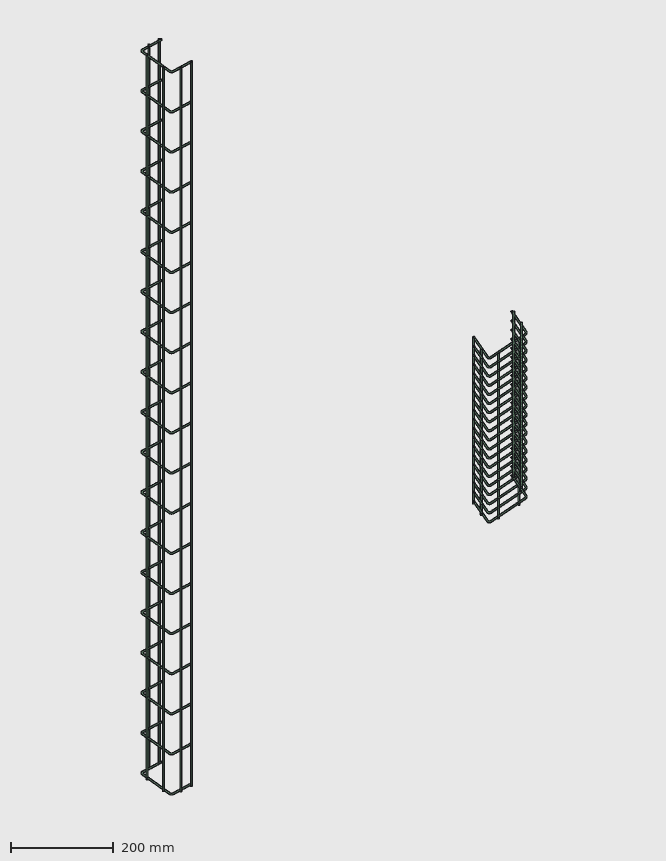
import cadquery as cq

width = 100.0
depth = 58.0
length = 1804.0

wire_diameter = 4.0
bend_radius = 4.5
rib_count = 19
floor_wire_spacing = 49.0
rim_wire_inset = 3.8
side_wire_spacing = 27.0
weld_overlap = 1.5

wire_radius = wire_diameter / 2
cross_spacing = wire_diameter - weld_overlap
rib_pitch = (length - wire_diameter) / (rib_count - 1)

side_wire_x = width / 2 - wire_radius
floor_wire_y = -depth / 2 + wire_radius
rib_x = side_wire_x - cross_spacing
rib_floor_y = floor_wire_y + cross_spacing
rib_tip_y = depth / 2
rim_wire_y = rib_tip_y - rim_wire_inset
middle_wire_y = rim_wire_y - side_wire_spacing


def make_rib():
    """U-shaped cross wire, open towards +Y, centred on Z = 0."""
    corner = bend_radius
    path = (
        cq.Workplane("XY")
        .moveTo(-rib_x, rib_tip_y)
        .lineTo(-rib_x, rib_floor_y + corner)
        .radiusArc((-rib_x + corner, rib_floor_y), -corner)
        .lineTo(rib_x - corner, rib_floor_y)
        .radiusArc((rib_x, rib_floor_y + corner), -corner)
        .lineTo(rib_x, rib_tip_y)
    )
    profile = cq.Workplane("XZ", origin=(-rib_x, rib_tip_y, 0)).circle(wire_radius)
    return profile.sweep(path)


def make_long_wires():
    """Straight wires running the full length of the tray."""
    centres = []
    for side in (-1, 1):
        centres.append((side * side_wire_x, rim_wire_y))
        centres.append((side * side_wire_x, middle_wire_y))
        centres.append((side * floor_wire_spacing / 2, floor_wire_y))
    return (
        cq.Workplane("XY", origin=(0, 0, -length / 2))
        .pushPoints(centres)
        .circle(wire_radius)
        .extrude(length)
    )


rib = make_rib()
first_rib_z = -rib_pitch * (rib_count - 1) / 2
ribs = [rib.translate((0, 0, first_rib_z + i * rib_pitch)).val() for i in range(rib_count)]
tray = make_long_wires().val().fuse(*ribs)
result = cq.Workplane(tray.Solids()[0])